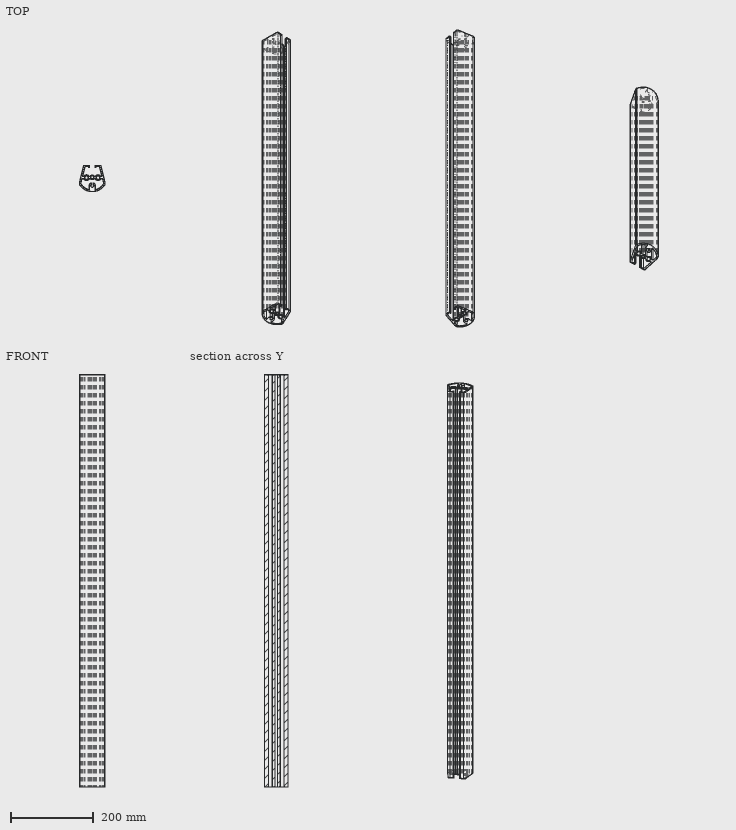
import cadquery as cq
import math

length = 1000.0
width = 63.0
depth = 64.0
half_width = width / 2
back_y = depth / 2
front_y = -depth / 2

side_wall = 4.0
back_half_width = 21.0
back_corner_radius = 3.5
shoulder_top_y = -11.0
shoulder_bottom_y = -16.0
shoulder_taper = 0.7

bow_wall = 4.0
bow_half_width = 30.0
bow_rise = shoulder_bottom_y - front_y
bow_radius = (bow_half_width**2 + bow_rise**2) / (2 * bow_rise)
bow_center_y = front_y + bow_radius

slot_half_width = 7.0
lip_thickness = 2.5
bead_width = 2.5
bead_height = 5.5

web_y = 2.0
web_thickness = 6.5
web_half_width = 25.0
side_boss_x = 14.0
side_boss_diameter = 14.0
side_hole_diameter = 8.5
middle_boss_y = 3.0
middle_boss_diameter = 11.0
middle_hole_diameter = 7.0

block_width = 15.0
channel_y = -18.0
channel_diameter = 6.5
channel_mouth = 4.5


def box(x_min, x_max, y_min, y_max):
    """Full-length rectangular bar between the given X and Y limits."""
    return (
        cq.Workplane("XY")
        .center((x_min + x_max) / 2, (y_min + y_max) / 2)
        .rect(x_max - x_min, y_max - y_min)
        .extrude(length)
    )


def rod(x, y, diameter):
    """Full-length round bar."""
    return cq.Workplane("XY").center(x, y).circle(diameter / 2).extrude(length)


def outer_body():
    """Solid bar with the outer outline of the rail."""
    shoulder_bottom_x = half_width - shoulder_taper
    return (
        cq.Workplane("XY")
        .moveTo(-bow_half_width, shoulder_bottom_y)
        .threePointArc((0, front_y), (bow_half_width, shoulder_bottom_y))
        .lineTo(shoulder_bottom_x, shoulder_bottom_y)
        .lineTo(half_width, shoulder_top_y)
        .lineTo(back_half_width, back_y)
        .lineTo(-back_half_width, back_y)
        .lineTo(-half_width, shoulder_top_y)
        .lineTo(-shoulder_bottom_x, shoulder_bottom_y)
        .close()
        .extrude(length)
        .edges("|Z and >Y")
        .fillet(back_corner_radius)
    )


def cavity():
    """Hollow enclosed by the side walls, the bowed front wall and the back lips."""
    inner_half_width = half_width - side_wall
    inner_back_half_width = back_half_width - side_wall
    inner_back_y = back_y - lip_thickness
    inner_bow_radius = bow_radius - bow_wall
    bow_end_y = bow_center_y - math.sqrt(inner_bow_radius**2 - inner_half_width**2)
    return (
        cq.Workplane("XY")
        .moveTo(-inner_half_width, bow_end_y)
        .threePointArc((0, front_y + bow_wall), (inner_half_width, bow_end_y))
        .lineTo(inner_half_width, shoulder_top_y)
        .lineTo(inner_back_half_width, inner_back_y)
        .lineTo(-inner_back_half_width, inner_back_y)
        .lineTo(-inner_half_width, shoulder_top_y)
        .close()
        .extrude(length)
    )


def lip_beads():
    """Beads along the slot edges of both back lips."""
    bead_end = slot_half_width + bead_width
    both = box(-bead_end, bead_end, back_y - bead_height, back_y)
    return both.cut(box(-slot_half_width, slot_half_width, back_y - bead_height, back_y))


def cross_web():
    """Web between the side walls with three tubular bosses."""
    bosses = (
        (-side_boss_x, web_y, side_boss_diameter, side_hole_diameter),
        (0, middle_boss_y, middle_boss_diameter, middle_hole_diameter),
        (side_boss_x, web_y, side_boss_diameter, side_hole_diameter),
    )
    half_thickness = web_thickness / 2
    web = box(-web_half_width, web_half_width, web_y - half_thickness, web_y + half_thickness)
    for x, y, boss_diameter, _ in bosses:
        web = web.union(rod(x, y, boss_diameter))
    for x, y, _, hole_diameter in bosses:
        web = web.cut(rod(x, y, hole_diameter))
    return web


def channel_block(body):
    """Round-topped block trimmed to the bow of the body, with its screw channel open towards +Y."""
    block = box(-block_width / 2, block_width / 2, front_y, channel_y).intersect(body)
    block = block.union(rod(0, channel_y, block_width))
    block = block.cut(rod(0, channel_y, channel_diameter))
    mouth = box(-channel_mouth / 2, channel_mouth / 2, channel_y, channel_y + block_width / 2)
    return block.cut(mouth)


body = outer_body()
slot = box(-slot_half_width, slot_half_width, back_y - lip_thickness, back_y)
result = (
    body.cut(cavity())
    .cut(slot)
    .union(lip_beads())
    .union(cross_web())
    .union(channel_block(body))
)